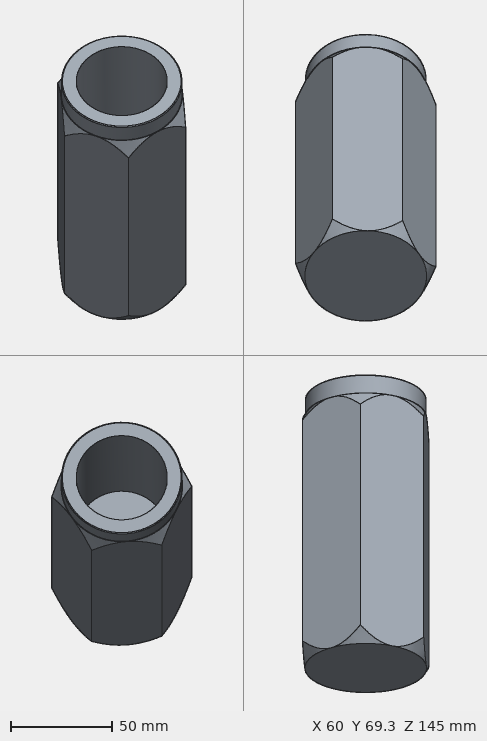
import cadquery as cq
import math

ACROSS_FLATS = 60.0
TOTAL_HEIGHT = 145.0
COLLAR_DIAMETER = 59.5
COLLAR_HEIGHT = 10.0
COLLAR_CHAMFER = 0.5
BORE_DIAMETER = 44.84
HEX_SIDES = 6
CORNER_CHAMFER_ANGLE = 60.0

ACROSS_CORNERS = ACROSS_FLATS / math.cos(math.pi / HEX_SIDES)
BORE_DEPTH = TOTAL_HEIGHT / 2
HEX_HEIGHT = TOTAL_HEIGHT - COLLAR_HEIGHT
FLAT_RADIUS = ACROSS_FLATS / 2
CORNER_RADIUS = ACROSS_CORNERS / 2
CORNER_CHAMFER_HEIGHT = (CORNER_RADIUS - FLAT_RADIUS) * math.tan(math.radians(CORNER_CHAMFER_ANGLE))


def hex_body():
    """Hexagonal bar with two corners on the Y axis, resting on Z = 0."""
    return (
        cq.Workplane("XY")
        .polygon(HEX_SIDES, ACROSS_CORNERS)
        .extrude(HEX_HEIGHT)
        .rotate((0, 0, 0), (0, 0, 1), 90)
    )


def corner_envelope():
    """Turned blank whose conical ends chamfer the hexagon's corners."""
    return (
        cq.Workplane("XZ")
        .moveTo(0, 0)
        .lineTo(FLAT_RADIUS, 0)
        .lineTo(CORNER_RADIUS, CORNER_CHAMFER_HEIGHT)
        .lineTo(CORNER_RADIUS, HEX_HEIGHT - CORNER_CHAMFER_HEIGHT)
        .lineTo(FLAT_RADIUS, HEX_HEIGHT)
        .lineTo(0, HEX_HEIGHT)
        .close()
        .revolve(360, (0, 0, 0), (0, 1, 0))
    )


def collar():
    """Round collar on top of the hexagon, with a small chamfer on its upper rim."""
    return (
        cq.Workplane("XY", origin=(0, 0, HEX_HEIGHT))
        .circle(COLLAR_DIAMETER / 2)
        .extrude(COLLAR_HEIGHT)
        .faces(">Z")
        .chamfer(COLLAR_CHAMFER)
    )


def bore():
    """Blind bore that opens at the top and stops at mid-height."""
    return (
        cq.Workplane("XY", origin=(0, 0, TOTAL_HEIGHT))
        .circle(BORE_DIAMETER / 2)
        .extrude(-BORE_DEPTH)
    )


result = hex_body().intersect(corner_envelope()).union(collar()).cut(bore())